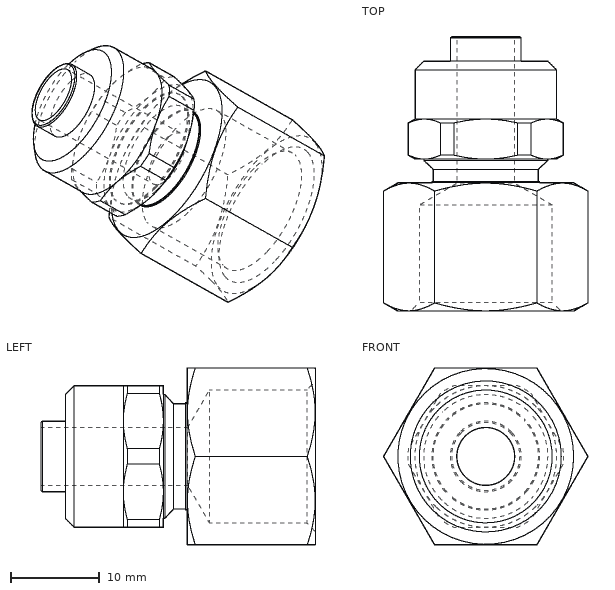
import cadquery as cq
import math

TOTAL_LENGTH = 31.0

NUT_FLATS = 20.0
NUT_LENGTH = 14.5
NUT_FACE_RADIUS = 9.92
HEX_CHAMFER_ANGLE = 30.0
HEX_HALF_ANGLE = math.pi / 6

COLLAR_RADIUS = 6.08
COLLAR_END = 14.65
NECK_RADIUS = 5.95
FLARE_START = 16.03
FLARE_END = 17.02
FLARE_RADIUS = 7.0

SMALL_HEX_FLATS = 16.0
SMALL_HEX_CORNER_RADIUS = 8.77
SMALL_HEX_START = 17.17
SMALL_HEX_END = 21.7

SLEEVE_RADIUS = 8.0
SLEEVE_END = 28.25
SLEEVE_CHAMFER = 1.0
TIP_RADIUS = 4.0
TIP_CHAMFER = 0.15

ENTRY_RADIUS = 8.52
ENTRY_DEPTH = 1.0
BORE_RADIUS = 7.5
BORE_DEPTH = 12.0
HOLE_RADIUS = 3.25
SEAT_ANGLE = 60.0


def revolve_profile(points):
    """Revolve a closed (radius, y) profile about the Y axis."""
    return cq.Workplane("XY").polyline(points).close().revolve(360, (0, 0, 0), (0, 1, 0))


def chamfered_hexagon(flats, start, end, face_radius, corner_radius):
    """Hexagon with corners on X, its ends coned and its corners limited to a radius."""
    length = end - start
    corner_diameter = flats / math.cos(HEX_HALF_ANGLE)
    prism = (
        cq.Workplane("XZ", origin=(0, end, 0))
        .polygon(6, corner_diameter)
        .extrude(length)
    )
    cone_length = (corner_radius - face_radius) * math.tan(math.radians(HEX_CHAMFER_ANGLE))
    envelope = revolve_profile([
        (0, start),
        (face_radius, start),
        (corner_radius, start + cone_length),
        (corner_radius, end - cone_length),
        (face_radius, end),
        (0, end),
    ])
    return prism.intersect(envelope)


def round_body():
    """Neck, flare, sleeve and tube tip as one turned body starting at the nut's back face."""
    return revolve_profile([
        (0, NUT_LENGTH),
        (COLLAR_RADIUS, NUT_LENGTH),
        (COLLAR_RADIUS, COLLAR_END),
        (NECK_RADIUS, COLLAR_END),
        (NECK_RADIUS, FLARE_START),
        (FLARE_RADIUS, FLARE_END),
        (FLARE_RADIUS, SMALL_HEX_END),
        (SLEEVE_RADIUS, SMALL_HEX_END),
        (SLEEVE_RADIUS, SLEEVE_END - SLEEVE_CHAMFER),
        (SLEEVE_RADIUS - SLEEVE_CHAMFER, SLEEVE_END),
        (TIP_RADIUS, SLEEVE_END),
        (TIP_RADIUS, TOTAL_LENGTH - TIP_CHAMFER),
        (TIP_RADIUS - TIP_CHAMFER, TOTAL_LENGTH),
        (0, TOTAL_LENGTH),
    ])


def bore():
    """Countersunk nut bore, conical seat and through hole."""
    seat_length = (BORE_RADIUS - HOLE_RADIUS) / math.tan(math.radians(SEAT_ANGLE))
    return revolve_profile([
        (0, 0),
        (ENTRY_RADIUS, 0),
        (BORE_RADIUS, ENTRY_DEPTH),
        (BORE_RADIUS, BORE_DEPTH),
        (HOLE_RADIUS, BORE_DEPTH + seat_length),
        (HOLE_RADIUS, TOTAL_LENGTH),
        (0, TOTAL_LENGTH),
    ])


nut_corner_radius = NUT_FLATS / 2 / math.cos(HEX_HALF_ANGLE)
nut = chamfered_hexagon(NUT_FLATS, 0, NUT_LENGTH, NUT_FACE_RADIUS, nut_corner_radius)
small_hex = chamfered_hexagon(
    SMALL_HEX_FLATS, SMALL_HEX_START, SMALL_HEX_END,
    SMALL_HEX_FLATS / 2, SMALL_HEX_CORNER_RADIUS,
)

result = nut.union(round_body()).union(small_hex).cut(bore())